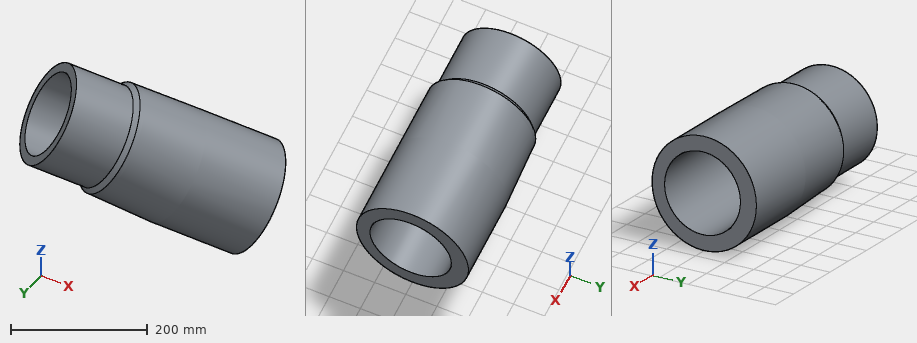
import cadquery as cq

length = 353.0
large_diameter = 180.0
collar_diameter = 174.5
small_diameter = 160.3
bore_diameter = 130.5

spigot_end = 96.7
bevel_end = 104.0
collar_end = 112.0
taper_end = 217.0

small_axis_y = -(large_diameter - collar_diameter) / 2


def section(x, y, diameter):
    """Circle across the pipe at position x, centred on the axis at y."""
    return cq.Workplane("YZ", origin=(x, y, 0)).circle(diameter / 2)


def cylinder(start, end, y, diameter):
    """Straight length of pipe, solid."""
    return section(start, y, diameter).extrude(end - start)


def cone(start, start_y, start_diameter, end, end_y, end_diameter):
    """Solid taper between two circles, whose centres may be offset in Y."""
    start_wire = section(start, start_y, start_diameter).wires().val()
    end_wire = section(end, end_y, end_diameter).wires().val()
    return cq.Workplane(cq.Solid.makeLoft([start_wire, end_wire], True))


spigot = cylinder(0, spigot_end, small_axis_y, small_diameter)
bevel = cone(spigot_end, small_axis_y, small_diameter, bevel_end, small_axis_y, collar_diameter)
collar = cylinder(bevel_end, collar_end, small_axis_y, collar_diameter)
taper = cone(collar_end, small_axis_y, collar_diameter, taper_end, 0, large_diameter)
large_pipe = cylinder(taper_end, length, 0, large_diameter)
body = spigot.union(bevel).union(collar).union(taper).union(large_pipe)

bore = cylinder(0, length, small_axis_y, bore_diameter)
result = body.cut(bore)